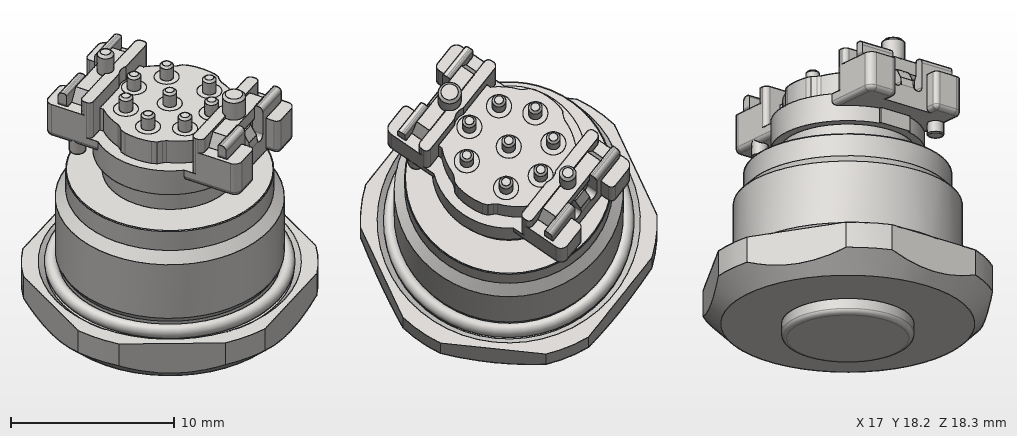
import cadquery as cq
import math

flange_bottom_z = 0.97
flange_top_z = 3.95
thread_bottom_z = 4.78
thread_top_z = 8.85
shoulder_z = 9.48
housing_top_z = 10.96
collar_bottom_z = 12.5
wing_bottom_z = 13.5
collar_top_z = 14.31
deck_z = 15.98
ridge_top_z = 16.84
wall_top_z = 17.0
total_height = 18.3

across_flats = 17.0
corner_diameter = 18.2
corner_radius = corner_diameter / 2
flange_chamfer = 1.32
thread_radius = 7.03
barrel_top_radius = 6.39
housing_edge_chamfer = 0.05

ring_radius = 7.25
ring_section_radius = 0.44
groove_inner_radius = ring_radius - ring_section_radius
groove_floor_z = flange_top_z - ring_section_radius
groove_outer_radius = 8.07

neck_radius = 4.15
plug_radius = 4.06
plug_fillet = 0.31
pin_radius = 0.42
pin_chamfer = 0.15
sleeve_radius = 0.77
sleeve_clearance_radius = 0.92
pin_circle_radius = 2.75
pin_spacing_angle = 49.0
pins_on_circle = 7

collar_radius = 4.72
key_half_width = 1.13
core_radius = 4.1
core_half_depth = 2.5
lobe_x = 0.93
step_top = (1.26, 3.86)
step_middle = (1.5, 3.6)
step_foot = (1.7, 3.45)
shoulder_bulge = (2.56, 3.04)
core_flat_x = math.sqrt(core_radius**2 - core_half_depth**2)

wing_half_depth = 3.62
wing_outer_x = 6.79
wing_root_x = 1.83
wing_corner_radius = 0.51
wing_bottom_fillet = 0.31
wall_inner_x = 3.51
wall_outer_x = 4.3
wall_corner_radius = 0.31
rail_inner_x = 5.3
rail_outer_x = 5.9
rail_half_length = 3.5
rail_end_fillet = 0.22
rail_top_outer_fillet = 0.33
rail_top_inner_fillet = 0.15
ridge_top_half_length = 2.3
ridge_base_half_length = 2.82
recess_x = rail_outer_x
recess_half_width = 1.52
recess_corner_radius = 0.31

tongue_half_width = 0.48
slot_outer_y = key_half_width
slot_width = slot_outer_y - tongue_half_width
slot_bottom_z = 14.7
undercut_depth = 0.15
undercut_z = 15.72
tongue_root_z = 14.82
tongue_knee_x = 5.82
tongue_knee_z = 15.34
tongue_tip_x = 5.42

upper_peg_x = 4.5
small_peg_radius = 0.51
large_peg_radius = 0.71
upper_peg_chamfer = 0.18
lower_peg_x = 4.74
lower_peg_y = wing_half_depth - small_peg_radius
lower_peg_bottom_z = 12.72
lower_peg_chamfer = 0.07


def cylinder(radius, bottom_z, top_z, x=0.0, y=0.0):
    """Upright cylinder between two heights."""
    return cq.Workplane("XY", origin=(x, y, bottom_z)).circle(radius).extrude(top_z - bottom_z)


def block(x_range, y_range, z_range):
    """Box given by its limits along each axis."""
    (x0, x1), (y0, y1), (z0, z1) = x_range, y_range, z_range
    return cq.Workplane("XY").box(x1 - x0, y1 - y0, z1 - z0, centered=False).translate((x0, y0, z0))


def prism_along_y(points_xz, y0, y1):
    """Prism between y0 and y1 whose section is a polygon of (x, z) points."""
    return cq.Workplane("XZ", origin=(0, y0, 0)).polyline(points_xz).close().extrude(y0 - y1)


def revolved(points_rz):
    """Solid of revolution about Z from a polygon of (radius, z) points."""
    return cq.Workplane("XZ").polyline(points_rz).close().revolve(360, (0, 0, 0), (0, 1, 0))


def pin_places():
    """Centre pin, then the pins spaced evenly to both sides of -Y."""
    places = [(0.0, 0.0)]
    for i in range(pins_on_circle):
        angle = math.radians(-90 + (i - pins_on_circle // 2) * pin_spacing_angle)
        places.append((pin_circle_radius * math.cos(angle), pin_circle_radius * math.sin(angle)))
    return places


def make_housing():
    flange = cylinder(corner_radius, flange_bottom_z, flange_top_z)
    flange = flange.faces("<Z").chamfer(flange_chamfer)
    hexagon = (
        cq.Workplane("XY", origin=(0, 0, flange_bottom_z))
        .polygon(6, across_flats, circumscribed=True)
        .extrude(flange_top_z - flange_bottom_z)
    )
    flange = flange.intersect(hexagon)

    groove_depth = flange_top_z - groove_floor_z
    groove = revolved([
        (groove_inner_radius, groove_floor_z),
        (groove_outer_radius - groove_depth, groove_floor_z),
        (groove_outer_radius, flange_top_z),
        (groove_inner_radius, flange_top_z),
    ])
    undercut_top_z = flange_top_z + ring_section_radius
    barrel = revolved([
        (0, flange_bottom_z),
        (groove_inner_radius, flange_bottom_z),
        (groove_inner_radius, undercut_top_z),
        (thread_radius, thread_bottom_z),
        (thread_radius, thread_top_z),
        (barrel_top_radius, shoulder_z),
        (barrel_top_radius, housing_top_z),
        (0, housing_top_z),
    ])
    barrel = barrel.faces(">Z").chamfer(housing_edge_chamfer)
    plug_bore = cylinder(plug_radius, flange_bottom_z, flange_top_z)
    neck_bore = cylinder(neck_radius, flange_top_z, housing_top_z)
    return flange.cut(groove).union(barrel).cut(plug_bore).cut(neck_bore)


def make_sealing_ring():
    section = cq.Workplane("XZ").center(ring_radius, flange_top_z).circle(ring_section_radius)
    return section.revolve(360, (-ring_radius, 0, 0), (-ring_radius, 1, 0))


def make_insert():
    insert = cylinder(plug_radius, 0, flange_top_z).faces("<Z").edges().fillet(plug_fillet)
    insert = insert.union(cylinder(neck_radius, flange_top_z, collar_bottom_z))
    for x, y in pin_places():
        sleeve = cylinder(sleeve_radius, collar_bottom_z, deck_z, x, y)
        pin = cylinder(pin_radius, deck_z, wall_top_z, x, y).faces(">Z").chamfer(pin_chamfer)
        insert = insert.union(sleeve).union(pin)
    return insert


def make_core():
    """Raised core: round lobes toward +Y and -Y with a step beside each lobe."""
    lobe_y = math.sqrt(core_radius**2 - lobe_x**2)
    step = [(lobe_x, lobe_y), step_top, step_middle, step_foot]
    mirrored_step = [(-x, y) for x, y in reversed(step)]
    shoulder_x, shoulder_y = shoulder_bulge
    outline = (
        cq.Workplane("XY", origin=(0, 0, collar_top_z))
        .moveTo(-wall_outer_x, 0)
        .lineTo(-wall_outer_x, core_half_depth)
        .lineTo(-core_flat_x, core_half_depth)
        .threePointArc((-shoulder_x, shoulder_y), mirrored_step[0])
        .polyline(mirrored_step[1:], includeCurrent=True)
        .threePointArc((0, core_radius), step[0])
        .polyline(step[1:], includeCurrent=True)
        .threePointArc((shoulder_x, shoulder_y), (core_flat_x, core_half_depth))
        .lineTo(wall_outer_x, core_half_depth)
        .lineTo(wall_outer_x, 0)
        .close()
    )
    half = outline.extrude(deck_z - collar_top_z)
    return half.union(half.mirror("XZ"))


def make_post():
    """Rounded end post on the +Y side of the wing, beside the recess."""
    post = block((rail_inner_x, wing_outer_x), (recess_half_width, wing_half_depth), (wing_bottom_z, deck_z))
    post = post.edges(">X and >Y").fillet(wing_corner_radius)
    post = post.faces(">X").edges("<Y").fillet(recess_corner_radius)
    return post.faces("<Z").edges("not <X").fillet(wing_bottom_fillet)


def make_wing_slab():
    """Slab reaching outward from inside the collar, with two end posts."""
    full_depth = (-wing_half_depth, wing_half_depth)
    slab = block((wing_root_x, recess_x), full_depth, (wing_bottom_z, deck_z))
    slab = slab.faces("<Z").edges("|X").fillet(wing_bottom_fillet)
    wall_middle_x = (wall_inner_x + wall_outer_x) / 2
    slab = slab.cut(block((wing_root_x, wall_middle_x), full_depth, (collar_top_z, deck_z)))
    post = make_post()
    return slab.union(post).union(post.mirror("XZ"))


def make_wall():
    wall = block(
        (wall_inner_x, wall_outer_x), (-wing_half_depth, wing_half_depth), (collar_top_z, wall_top_z)
    )
    return wall.edges("|Z").fillet(wall_corner_radius)


def make_rail():
    """Upright rail with a rounded top edge and undercut ends."""
    rail = block((rail_inner_x, rail_outer_x), (-rail_half_length, rail_half_length), (deck_z, wall_top_z))
    rail = rail.faces("<Z").edges("|X").fillet(rail_end_fillet)
    rail = rail.faces(">Z").edges(">X").fillet(rail_top_outer_fillet)
    return rail.faces("<X").edges(">Z").fillet(rail_top_inner_fillet)


def make_ridge():
    """Ridge with sloped ends that bridges the wall and the rail."""
    profile = [
        (-ridge_base_half_length, deck_z),
        (-ridge_top_half_length, ridge_top_z),
        (ridge_top_half_length, ridge_top_z),
        (ridge_base_half_length, deck_z),
    ]
    plane = cq.Workplane("YZ", origin=(wall_outer_x, 0, 0))
    return plane.polyline(profile).close().extrude(rail_inner_x - wall_outer_x)


def make_latch_slot():
    """Slot on the +Y side of the tongue: round bottom, back face undercut below the ridge."""
    slot_radius = slot_width / 2
    back_x = rail_inner_x - undercut_depth
    round_z = slot_bottom_z + slot_radius
    slot = block((back_x, recess_x), (tongue_half_width, slot_outer_y), (round_z, undercut_z))
    bottom = (
        cq.Workplane("YZ", origin=(back_x, 0, 0))
        .center(tongue_half_width + slot_radius, round_z)
        .circle(slot_radius)
        .extrude(recess_x - back_x)
    )
    opening = prism_along_y(
        [
            (back_x, undercut_z),
            (rail_inner_x, deck_z),
            (rail_inner_x, wall_top_z),
            (recess_x, wall_top_z),
            (recess_x, undercut_z),
        ],
        tongue_half_width,
        slot_outer_y,
    )
    return slot.union(bottom).union(opening)


def make_tongue_clearance():
    """Space above the tongue, whose face slopes up toward the ridge."""
    return prism_along_y(
        [
            (recess_x, tongue_root_z),
            (tongue_knee_x, tongue_knee_z),
            (tongue_tip_x, deck_z),
            (rail_inner_x, deck_z),
            (rail_inner_x, wall_top_z),
            (recess_x, wall_top_z),
        ],
        -tongue_half_width,
        tongue_half_width,
    )


def make_wing():
    wing = make_wing_slab().union(make_rail()).union(make_ridge()).union(make_wall())
    slot = make_latch_slot()
    wing = wing.cut(slot).cut(slot.mirror("XZ")).cut(make_tongue_clearance())
    peg = cylinder(small_peg_radius, lower_peg_bottom_z, collar_top_z, lower_peg_x, lower_peg_y)
    return wing.union(peg.faces("<Z").chamfer(lower_peg_chamfer))


def make_holder():
    collar = cylinder(collar_radius, collar_bottom_z, collar_top_z)
    keys = block(
        (-collar_radius, collar_radius),
        (-key_half_width, key_half_width),
        (collar_bottom_z, collar_top_z),
    )
    holder = collar.union(keys).union(make_core())
    wing = make_wing()
    for turn in (0, 180):
        holder = holder.union(wing.rotate((0, 0, 0), (0, 0, 1), turn))
    for x, radius in ((-upper_peg_x, small_peg_radius), (upper_peg_x, large_peg_radius)):
        peg = cylinder(radius, deck_z, total_height, x).faces(">Z").chamfer(upper_peg_chamfer)
        holder = holder.union(peg)
    for x, y in pin_places():
        holder = holder.cut(cylinder(sleeve_radius, collar_bottom_z, deck_z, x, y))
        holder = holder.cut(cylinder(sleeve_clearance_radius, deck_z, wall_top_z, x, y))
    return holder


housing = make_housing()
sealing_ring = make_sealing_ring()
insert = make_insert()
holder = make_holder()
result = cq.Compound.makeCompound([body.solids().val() for body in (housing, sealing_ring, insert, holder)])